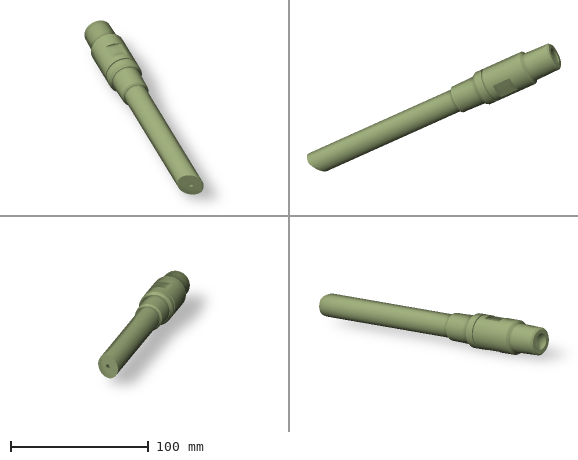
import cadquery as cq
import math

length = 202.3
body_diameter = 25.5
groove_diameter = 23.5
tube_diameter = 17.2
bore_diameter = 12.0
tip_hole_diameter = 3.2

taper_small_diameter = 20.5
taper_large_diameter = 21.5
end_chamfer = 1.2

body_start = 20.5
body_end = 62.3
shoulder_end = 82.3
groove_start = 53.5
groove_width = 1.2

front_bevel_length = 1.8
rear_bevel_length = 2.2
rear_bevel_diameter = 22.7

flat_start = 34.4
flat_length = 14.0
across_flats = 22.5

bore_depth = 50.5
tip_hole_depth = 10.1
tip_angle = 30.0
tip_land = 1.72


def make_turned_body():
    """Revolve the stepped outer shape about the X axis."""
    small_radius = taper_small_diameter / 2
    large_radius = taper_large_diameter / 2
    body_radius = body_diameter / 2
    groove_radius = groove_diameter / 2
    tube_radius = tube_diameter / 2
    groove_end = groove_start + groove_width
    outline = [
        (0, 0),
        (0, small_radius - end_chamfer),
        (end_chamfer, small_radius),
        (body_start, large_radius),
        (body_start + front_bevel_length, body_radius),
        (groove_start, body_radius),
        (groove_start, groove_radius),
        (groove_end, groove_radius),
        (groove_end, body_radius),
        (body_end - rear_bevel_length, body_radius),
        (body_end, rear_bevel_diameter / 2),
        (body_end, large_radius),
        (shoulder_end - end_chamfer, small_radius),
        (shoulder_end, small_radius - end_chamfer),
        (shoulder_end, tube_radius),
        (length, tube_radius),
        (length, 0),
    ]
    return cq.Workplane("XY").polyline(outline).close().revolve(360, (0, 0, 0), (1, 0, 0))


def make_flat_cutter(side):
    """Block that removes the body above (side = 1) or below (side = -1) a flat."""
    cut_depth = (body_diameter - across_flats) / 2
    center = (flat_start + flat_length / 2, 0, side * (across_flats + cut_depth) / 2)
    return cq.Workplane("XY").box(flat_length, body_diameter, cut_depth).translate(center)


def make_tip_cutter():
    """Wedge that slants the tube end and leaves a narrow square land at +Y."""
    land_y = tube_diameter / 2 - tip_land
    slant_bottom_y = -body_diameter / 2
    slant_run = (land_y - slant_bottom_y) * math.tan(math.radians(tip_angle))
    outline = [
        (length, land_y),
        (length - slant_run, slant_bottom_y),
        (length, slant_bottom_y),
    ]
    return cq.Workplane("XY").polyline(outline).close().extrude(body_diameter / 2, both=True)


def make_axial_hole(diameter, start, depth):
    return cq.Workplane("YZ", origin=(start, 0, 0)).circle(diameter / 2).extrude(depth)


tip_face_x = length - (tube_diameter / 2 - tip_land) * math.tan(math.radians(tip_angle))
tip_hole_bottom = tip_face_x - tip_hole_depth

result = make_turned_body()
for side in (1, -1):
    result = result.cut(make_flat_cutter(side))
result = result.cut(make_tip_cutter())
result = result.cut(make_axial_hole(bore_diameter, 0, bore_depth))
result = result.cut(make_axial_hole(tip_hole_diameter, tip_hole_bottom, length - tip_hole_bottom))